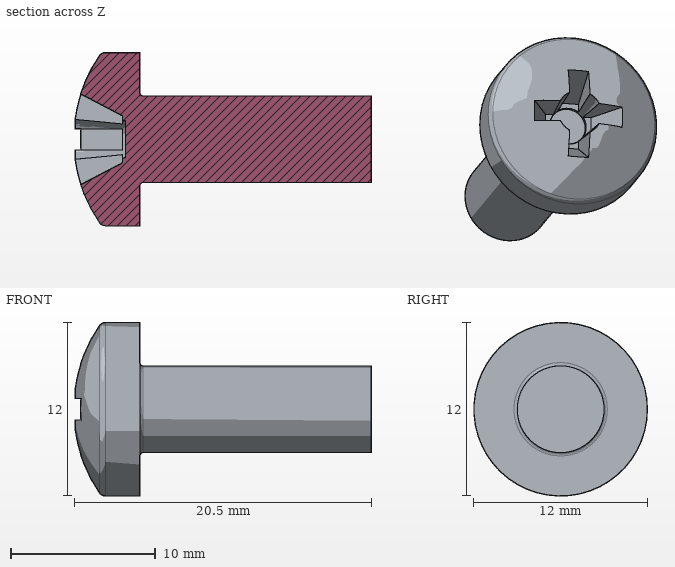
import cadquery as cq
import math

total_length = 20.48
head_diameter = 12.0
shank_diameter = 6.0
head_height = 4.49

dome_radius = 10.18
rim_fillet = 0.51
neck_fillet = 0.23

cutter_start = -0.61
arm_floor = 3.28
core_floor = 3.48
arm_width = 1.45
arm_mouth_reach = 3.13
arm_floor_reach = 1.62
core_mouth_radius = 1.55
core_floor_radius = 1.27

head_radius = head_diameter / 2
shank_radius = shank_diameter / 2

dome_center = math.sqrt(dome_radius**2 - core_mouth_radius**2)


def dome_x(radius):
    """X position of the dome surface at a distance from the axis."""
    return dome_center - math.sqrt(dome_radius**2 - radius**2)


def make_body():
    """Revolved head and shank, with the hollow core, rounded rim and neck."""
    rim_center_radius = head_radius - rim_fillet
    rim_tilt = math.asin(rim_center_radius / (dome_radius - rim_fillet))
    rim_start = dome_center - (dome_radius - rim_fillet) * math.cos(rim_tilt)
    rim_end_radius = dome_radius * math.sin(rim_tilt)
    middle_tilt = (rim_tilt + math.pi / 2) / 2
    rim_middle = (
        rim_start - rim_fillet * math.cos(middle_tilt),
        rim_center_radius + rim_fillet * math.sin(middle_tilt),
    )
    dome_middle_radius = (core_mouth_radius + rim_end_radius) / 2
    neck_middle_offset = neck_fillet * (1 - math.sqrt(0.5))

    profile = (
        cq.Workplane("XY")
        .moveTo(core_floor, 0)
        .lineTo(core_floor, core_floor_radius)
        .lineTo(dome_x(core_mouth_radius), core_mouth_radius)
        .threePointArc(
            (dome_x(dome_middle_radius), dome_middle_radius),
            (dome_x(rim_end_radius), rim_end_radius),
        )
        .threePointArc(rim_middle, (rim_start, head_radius))
        .lineTo(head_height, head_radius)
        .lineTo(head_height, shank_radius + neck_fillet)
        .threePointArc(
            (head_height + neck_middle_offset, shank_radius + neck_middle_offset),
            (head_height + neck_fillet, shank_radius),
        )
        .lineTo(total_length, shank_radius)
        .lineTo(total_length, 0)
        .close()
    )
    return profile.revolve(360, (0, 0, 0), (1, 0, 0))


def make_arm_pair():
    """Two opposite recess arms along Z, with sloped ends."""
    taper = (arm_mouth_reach - arm_floor_reach) / (arm_floor - dome_x(arm_mouth_reach))
    top_reach = arm_floor_reach + taper * (arm_floor - cutter_start)
    return (
        cq.Workplane("XZ")
        .polyline([
            (cutter_start, -top_reach),
            (cutter_start, top_reach),
            (arm_floor, arm_floor_reach),
            (arm_floor, -arm_floor_reach),
        ])
        .close()
        .extrude(arm_width / 2, both=True)
    )


result = make_body()
for angle in (0, 90):
    result = result.cut(make_arm_pair().rotate((0, 0, 0), (1, 0, 0), angle))